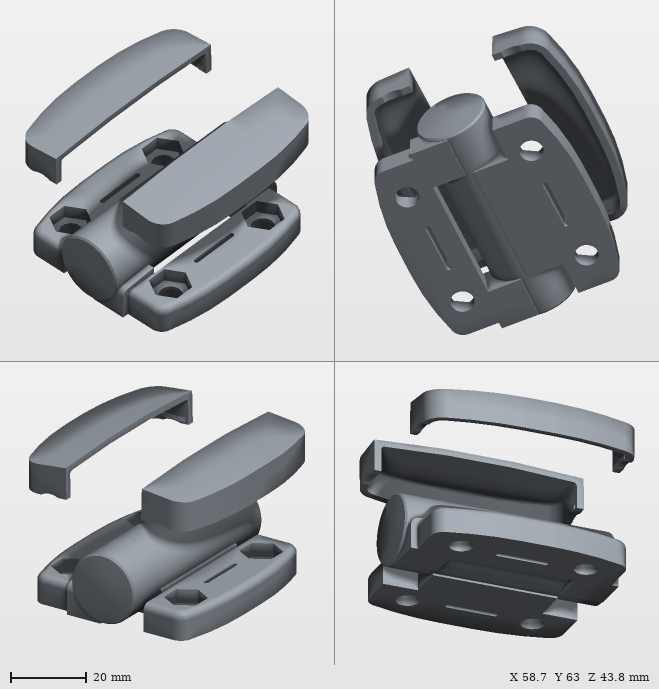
import cadquery as cq
import math

barrel_diameter = 20.0
barrel_radius = barrel_diameter / 2
axis_height = 10.5
barrel_half_length = 30.2
middle_knuckle_half_length = 17.95
rim_step = 0.5
barrel_tip = 31.5

cover_half_length = 30.25
overall_width = 58.65
cover_outer_x = overall_width / 2
cover_corner_radius = 6.0
side_arc_radius = 76.85
side_flat_half_length = 4.85

cover_top = 43.8
cover_inner_x_top = 12.15
cover_inner_x_bottom = 11.9
cover_bottom_inner = 33.45
cover_bottom_outer = 32.5
crown_radius_x = 157.5
crown_radius_y = 378.0
cover_wall = 2.0
cover_roof = 1.8
cavity_fillet = 1.0
notch_radius = 5.4
notch_depth = 0.7

bead_start_x = 13.1
bead_end_x = 20.4
bead_height = 0.45
bead_top = 35.3
bead_crest = 34.1
bead_bottom = 33.5

leaf_inset = 2.2
leaf_thickness = 8.0
leaf_inner_x = 11.2
leaf_top_fillet = 2.0

screw_spacing_half = 18.0
screw_hole_diameter = 6.4
nut_across_flats = 10.2
nut_pocket_depth = 4.05
slot_x = 17.0
slot_length = 15.1
slot_width = 1.4

web_bottom_inner_x = 1.2
groove_floor = 4.4
middle_web_top_x = 10.3
middle_web_barrel_height = 8.4
end_web_outer_x = 11.9
end_web_half_length = 30.0
end_web_fillet = 2.5
end_web_top_inner = 9.9
end_web_top_outer = 9.1
relief_bottom_x = 10.6
relief_top_x = 12.15

OVERCUT = 0.6


def outline_prism(inset, inner_x, bottom, top):
    """Upright prism on the +X side: the cover outline moved inward by inset."""
    half_length = cover_half_length - inset
    outer_x = cover_outer_x - inset
    corner_radius = cover_corner_radius - inset
    side_radius = side_arc_radius - inset
    side_center_x = outer_x - side_radius

    corner_y = half_length - corner_radius
    tangent_angle = math.asin((corner_y - side_flat_half_length) / (side_radius - corner_radius))
    corner_x = side_center_x + (side_radius - corner_radius) * math.cos(tangent_angle)

    def on_side(angle):
        return (
            side_center_x + side_radius * math.cos(angle),
            side_flat_half_length + side_radius * math.sin(angle),
        )

    def on_corner(angle):
        return (
            corner_x + corner_radius * math.cos(angle),
            corner_y + corner_radius * math.sin(angle),
        )

    def mirrored(point):
        return (point[0], -point[1])

    side_middle = on_side(tangent_angle / 2)
    side_end = on_side(tangent_angle)
    corner_middle = on_corner((tangent_angle + math.pi / 2) / 2)
    corner_end = on_corner(math.pi / 2)

    return (
        cq.Workplane("XY", origin=(0, 0, bottom))
        .moveTo(inner_x, -half_length)
        .lineTo(*mirrored(corner_end))
        .threePointArc(mirrored(corner_middle), mirrored(side_end))
        .threePointArc(mirrored(side_middle), (outer_x, -side_flat_half_length))
        .lineTo(outer_x, side_flat_half_length)
        .threePointArc(side_middle, side_end)
        .threePointArc(corner_middle, corner_end)
        .lineTo(inner_x, half_length)
        .close()
        .extrude(top - bottom)
    )


def extrude_along_y(points, y_start, y_end):
    """Solid with a polygonal XZ section between two Y positions."""
    return (
        cq.Workplane("XZ", origin=(0, y_start, 0))
        .polyline(points)
        .close()
        .extrude(y_start - y_end)
    )


def crowned_block(drop):
    """Block whose doubly curved top lies the given drop below the cover's top."""
    outer_x = cover_outer_x + OVERCUT
    floor = cover_bottom_outer - OVERCUT
    arc_center = cover_top - math.sqrt(crown_radius_x**2 - cover_inner_x_top**2)
    arc_radius = crown_radius_x - drop

    def crown_point(x):
        return (x, arc_center + math.sqrt(arc_radius**2 - x**2))

    pivot = cover_top - crown_radius_y
    half_swing = math.degrees(math.asin((cover_half_length + OVERCUT) / (floor - pivot)))
    block = (
        cq.Workplane("XZ")
        .moveTo(0, floor)
        .lineTo(*crown_point(0))
        .threePointArc(crown_point(outer_x / 2), crown_point(outer_x))
        .lineTo(outer_x, floor)
        .close()
        .revolve(2 * half_swing, (0, pivot, 0), (1, pivot, 0))
    )
    return block.rotate((0, 0, pivot), (1, 0, pivot), -half_swing)


def snap_bead(side):
    """Triangular bead on the inside of the end wall on the +Y or -Y side, for side = 1 or -1."""
    wall_y = cover_half_length - cover_wall
    section = [
        (side * (wall_y + OVERCUT), bead_bottom),
        (side * wall_y, bead_bottom),
        (side * (wall_y - bead_height), bead_crest),
        (side * wall_y, bead_top),
        (side * (wall_y + OVERCUT), bead_top),
    ]
    return (
        cq.Workplane("YZ", origin=(bead_start_x, 0, 0))
        .polyline(section)
        .close()
        .extrude(bead_end_x - bead_start_x)
    )


def make_cover():
    """Crowned shell, open below and towards the hinge, on the +X side."""
    below = cover_bottom_outer - 2 * OVERCUT
    above = cover_top + 2 * OVERCUT
    cover = outline_prism(0, 0, below, above).intersect(crowned_block(0))
    cavity = outline_prism(cover_wall, 0, below, above).intersect(crowned_block(cover_roof))
    cavity = cavity.faces(">Z").edges("not(<X)").fillet(cavity_fillet)
    cover = cover.cut(cavity)
    for side in (1, -1):
        cover = cover.union(snap_bead(side))

    section = [
        (cover_inner_x_bottom, cover_bottom_inner),
        (cover_outer_x, cover_bottom_outer),
        (cover_outer_x, cover_top + OVERCUT),
        (cover_inner_x_top, cover_top + OVERCUT),
        (cover_inner_x_top, cover_top),
    ]
    cover = cover.intersect(extrude_along_y(section, -cover_half_length, cover_half_length))

    slope = (cover_bottom_outer - cover_bottom_inner) / (cover_outer_x - cover_inner_x_bottom)
    notch_edge = cover_bottom_inner + slope * (slot_x - cover_inner_x_bottom)
    notch = (
        cq.Workplane("XZ", origin=(0, cover_half_length, 0))
        .center(slot_x, notch_edge + notch_depth - notch_radius)
        .circle(notch_radius)
        .extrude(2 * cover_half_length)
    )
    return cover.cut(notch)


def make_leaf_plate():
    """Plate on the +X side with its nut pockets, screw holes and clip slot."""
    plate = outline_prism(leaf_inset, leaf_inner_x, 0, leaf_thickness)
    plate = plate.faces(">Z").edges("not(<X)").fillet(leaf_top_fillet)

    screws = [(screw_spacing_half, side * screw_spacing_half) for side in (1, -1)]
    nut_across_corners = nut_across_flats / math.cos(math.pi / 6)
    holes = (
        cq.Workplane("XY")
        .pushPoints(screws)
        .circle(screw_hole_diameter / 2)
        .extrude(leaf_thickness)
    )
    nut_pockets = (
        cq.Workplane(cq.Plane((0, 0, leaf_thickness - nut_pocket_depth), xDir=(0, 1, 0)))
        .pushPoints([(y, -x) for x, y in screws])
        .polygon(6, nut_across_corners)
        .extrude(nut_pocket_depth)
    )
    slot = (
        cq.Workplane("XY")
        .center(slot_x, 0)
        .slot2D(slot_length, slot_width, 90)
        .extrude(leaf_thickness)
    )
    return plate.cut(holes).cut(nut_pockets).cut(slot)


def barrel(y_start, y_end):
    """Plain cylinder on the hinge axis."""
    return (
        cq.Workplane("XZ", origin=(0, y_start, axis_height))
        .circle(barrel_radius)
        .extrude(y_start - y_end)
    )


def make_end_knuckle():
    """Outer knuckle at the +Y end, with a chamfered rim and a domed end."""
    rim_y = barrel_half_length + rim_step
    rim_radius = barrel_radius - rim_step
    dome_rise = barrel_tip - rim_y
    dome_radius = (rim_radius**2 + dome_rise**2) / (2 * dome_rise)
    middle_x = rim_radius / 2
    middle_y = barrel_tip - dome_radius + math.sqrt(dome_radius**2 - middle_x**2)
    return (
        cq.Workplane("XY", origin=(0, 0, axis_height))
        .moveTo(0, middle_knuckle_half_length)
        .lineTo(barrel_radius, middle_knuckle_half_length)
        .lineTo(barrel_radius, barrel_half_length)
        .lineTo(rim_radius, rim_y)
        .threePointArc((middle_x, middle_y), (0, barrel_tip))
        .close()
        .revolve(360, (0, 0, 0), (0, 1, 0))
    )


def make_end_web():
    """Web from the +X leaf to the +Y end knuckle; its top slopes down to a rounded end."""
    section = [
        (middle_knuckle_half_length, 0),
        (end_web_half_length, 0),
        (end_web_half_length, end_web_top_outer),
        (middle_knuckle_half_length, end_web_top_inner),
    ]
    web = (
        cq.Workplane("YZ", origin=(web_bottom_inner_x, 0, 0))
        .polyline(section)
        .close()
        .extrude(end_web_outer_x - web_bottom_inner_x)
    )
    return web.faces(">Y").edges(">Z").fillet(end_web_fillet)


def make_single_knuckle_leaf():
    """Leaf on the -X side that carries the middle knuckle."""
    contact_drop = axis_height - middle_web_barrel_height
    barrel_contact_x = math.sqrt(barrel_radius**2 - contact_drop**2)
    web_section = [
        (web_bottom_inner_x, 0),
        (leaf_inner_x, 0),
        (leaf_inner_x, groove_floor),
        (middle_web_top_x, leaf_thickness),
        (barrel_contact_x, middle_web_barrel_height),
        (web_bottom_inner_x, middle_web_barrel_height),
    ]
    reach = middle_knuckle_half_length
    web = extrude_along_y(web_section, -reach, reach)
    leaf = make_leaf_plate().union(web).mirror("YZ")
    return leaf.union(barrel(-reach, reach))


def make_double_knuckle_leaf():
    """Leaf on the +X side that carries the two end knuckles."""
    reach = middle_knuckle_half_length
    relief_section = [
        (leaf_inner_x, groove_floor),
        (relief_top_x, leaf_thickness),
        (leaf_inner_x, leaf_thickness),
    ]
    lip_section = [
        (relief_bottom_x, 0),
        (leaf_inner_x, 0),
        (leaf_inner_x, groove_floor),
        (relief_bottom_x, groove_floor),
    ]
    leaf = make_leaf_plate()
    leaf = leaf.cut(extrude_along_y(relief_section, -reach, reach))
    leaf = leaf.union(extrude_along_y(lip_section, -reach, reach))
    knuckle_with_web = make_end_knuckle().union(make_end_web())
    return leaf.union(knuckle_with_web).union(knuckle_with_web.mirror("XZ"))


single_knuckle_leaf = make_single_knuckle_leaf()
double_knuckle_leaf = make_double_knuckle_leaf()

right_cover = make_cover()
covers = [right_cover, right_cover.mirror("YZ")]

result = cq.Compound.makeCompound(
    [single_knuckle_leaf.val(), double_knuckle_leaf.val()] + [cover.val() for cover in covers]
)